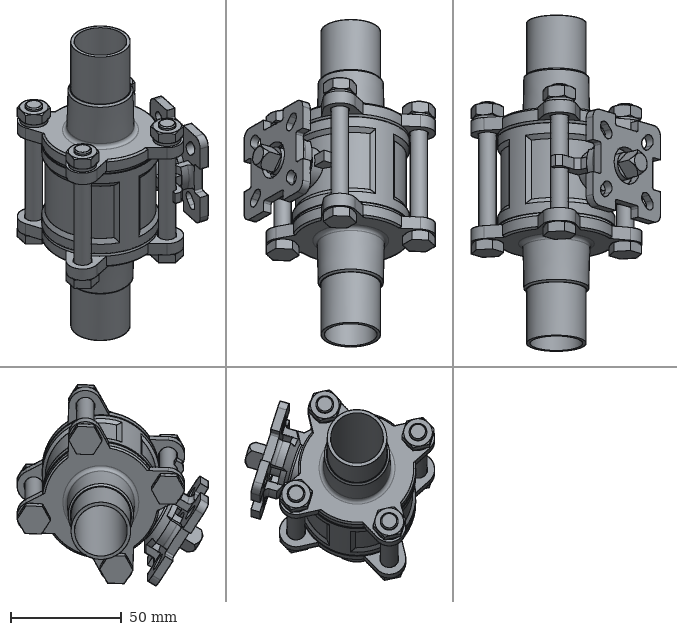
import cadquery as cq
import math


half_length = 75.0
bore_dia = 23.7
pipe_dia = 26.8
hub_end_radius = 14.7
hub_root_radius = 15.2
hub_end_z = 50.1
hub_end_chamfer = 0.9
hub_root_fillet = 2.0

body_dia = 53.0
flange_inner_z = 22.4
flange_outer_z = 28.4
flange_outer_chamfer = 0.9
flange_inner_chamfer = 0.6
body_end_z = 21.0

panel_radius = 25.0
panel_half_height = 13.8
panel_edge_slope = 2.2
rib_half_width = 5.4
rib_foot_half_width = 6.8

flange_width = 59.0
lobe_radius = 7.5
lobe_flank_length = 10.5
bolt_offset = flange_width / 2 - lobe_radius
bolt_dia = 8.0
bolt_hole_dia = 8.5
bolt_tip_z = 36.9
bolt_tip_chamfer = 0.6
hex_face_dia = 12.9
hex_corners = 15.0
hex_chamfer_angle = 30
head_height = 4.8
washer_dia = 12.8
washer_thickness = 1.5
nut_height = 5.5

neck_radius = 10.5
neck_top_y = 29.0
neck_flare_y = 29.8
neck_relief = 0.3
cup_inner_dia = 26.0
cup_outer_radius = 16.0
cup_floor_y = 33.9
cup_flare_y = 33.2
leg_width = 12.5
leg_fillet = 2.1

plate_bottom_y = 38.8
plate_top_y = 43.0
plate_side = 45.2
plate_corner_radius = 4.4
notch_width = 15.0
notch_depth = 5.2
notch_fillet = 0.98
plate_hole_dia = 17.0
slot_dia = 5.5
slot_inner_circle_radius = 18.0
slot_outer_circle_radius = 21.0

stem_dia = 12.3
stem_tip_y = 51.6
stem_tip_chamfer = 2.0

lug_thickness = 5.2
lug_top_y = 27.6
lug_base_y = 22.5
left_lug_end_x = -17.4
right_lug_end_x = 28.4
right_lug_shoulder_x = 16.0
right_lug_shoulder_y = 29.8
right_lug_peak_y = 33.0
right_lug_tip_chamfer = 2.1

body_radius = body_dia / 2
cup_inner_radius = cup_inner_dia / 2


def along_y(base_y):
    """Workplane for shapes extruded along +Y; its local axes are X and -Z."""
    return cq.Workplane("XZ", origin=(0, base_y, 0)).transformed(rotate=(180, 0, 0))


def both_ends(upper):
    return upper.union(upper.mirror("XY"))


def pipe_end():
    """Upper pipe stub with its tapered hub and the fillet at the hub root."""
    root_z = flange_outer_z + hub_root_fillet
    end_edge_z = hub_end_z - hub_end_chamfer
    profile = (
        cq.Workplane("XZ")
        .moveTo(0, body_end_z)
        .lineTo(hub_root_radius + hub_root_fillet, body_end_z)
        .lineTo(hub_root_radius + hub_root_fillet, flange_outer_z)
        .radiusArc((hub_root_radius, root_z), hub_root_fillet)
        .lineTo(hub_end_radius, end_edge_z)
        .lineTo(hub_end_radius - hub_end_chamfer, hub_end_z)
        .lineTo(pipe_dia / 2, hub_end_z)
        .lineTo(pipe_dia / 2, half_length)
        .lineTo(0, half_length)
        .close()
    )
    return profile.revolve(360, (0, 0, 0), (0, 1, 0))


def flange_lobe():
    """Bolt lobe on the +X +Y corner; its flanks lean 30 degrees from Y and from X."""
    cos30 = math.cos(math.radians(30))
    near = bolt_offset - lobe_radius / 2
    far = bolt_offset + lobe_radius * cos30
    flank_x = far - lobe_flank_length / 2
    flank_y = near - lobe_flank_length * cos30
    tip = bolt_offset + lobe_radius * math.sqrt(0.5)
    return (
        cq.Workplane("XY", origin=(0, 0, flange_inner_z))
        .moveTo(flank_x, flank_y)
        .lineTo(far, near)
        .threePointArc((tip, tip), (near, far))
        .lineTo(flank_y, flank_x)
        .close()
        .extrude(flange_outer_z - flange_inner_z)
    )


def flange():
    """Upper flange: chamfered disc with four drilled bolt lobes."""
    disc = (
        cq.Workplane("XZ")
        .moveTo(0, body_end_z)
        .lineTo(body_radius - flange_inner_chamfer, body_end_z)
        .lineTo(body_radius, flange_inner_z)
        .lineTo(body_radius, flange_outer_z - flange_outer_chamfer)
        .lineTo(body_radius - flange_outer_chamfer, flange_outer_z)
        .lineTo(0, flange_outer_z)
        .close()
        .revolve(360, (0, 0, 0), (0, 1, 0))
    )
    lobe = flange_lobe()
    for quarter in range(4):
        disc = disc.union(lobe.rotate((0, 0, 0), (0, 0, 1), 90 * quarter))
    holes = (
        cq.Workplane("XY", origin=(0, 0, flange_inner_z))
        .rect(2 * bolt_offset, 2 * bolt_offset, forConstruction=True)
        .vertices()
        .circle(bolt_hole_dia / 2)
        .extrude(flange_outer_z - flange_inner_z)
    )
    return disc.cut(holes)


def body_panels():
    """Ring-shaped cutter for the body panels, interrupted at the two ribs."""
    depth = body_radius - panel_radius
    outer_radius = body_radius + depth
    outer_half_height = panel_half_height + 2 * panel_edge_slope
    ring = (
        cq.Workplane("XZ")
        .moveTo(panel_radius, -panel_half_height)
        .lineTo(outer_radius, -outer_half_height)
        .lineTo(outer_radius, outer_half_height)
        .lineTo(panel_radius, panel_half_height)
        .close()
        .revolve(360, (0, 0, 0), (0, 1, 0))
    )
    rib_slope = rib_foot_half_width - rib_half_width
    rib_outer_half_width = rib_half_width - rib_slope
    foot_x = math.sqrt(panel_radius**2 - rib_foot_half_width**2)
    crest_x = foot_x + 2 * depth
    rib = (
        cq.Workplane("XY")
        .polyline([
            (0, -rib_foot_half_width),
            (foot_x, -rib_foot_half_width),
            (crest_x, -rib_outer_half_width),
            (crest_x, rib_outer_half_width),
            (foot_x, rib_foot_half_width),
            (0, rib_foot_half_width),
        ])
        .close()
        .extrude(outer_half_height, both=True)
    )
    return ring.cut(rib).cut(rib.mirror("YZ"))


def chamfered_hexagon(base_z, height, chamfer_top):
    """Hexagon with corners on X, its lower and optionally upper corners turned off by a cone."""
    corner_radius = hex_corners / 2
    face_radius = hex_face_dia / 2
    drop = (corner_radius - face_radius) * math.tan(math.radians(hex_chamfer_angle))
    top_z = base_z + height
    outline = [
        (0, base_z),
        (face_radius, base_z),
        (corner_radius, base_z + drop),
        (corner_radius, top_z),
        (0, top_z),
    ]
    if chamfer_top:
        outline[3:4] = [(corner_radius, top_z - drop), (face_radius, top_z)]
    turned = cq.Workplane("XZ").polyline(outline).close().revolve(360, (0, 0, 0), (0, 1, 0))
    hexagon = cq.Workplane("XY", origin=(0, 0, base_z)).polygon(6, hex_corners).extrude(height)
    return hexagon.intersect(turned)


def tie_bolt():
    """Bolt on the Z axis with its head below and its washer and nut above the flanges."""
    shank = (
        cq.Workplane("XY", origin=(0, 0, -flange_outer_z))
        .circle(bolt_dia / 2)
        .extrude(bolt_tip_z + flange_outer_z)
        .faces(">Z")
        .chamfer(bolt_tip_chamfer)
    )
    head = chamfered_hexagon(flange_outer_z, head_height, False).mirror("XY")
    washer = (
        cq.Workplane("XY", origin=(0, 0, flange_outer_z))
        .circle(washer_dia / 2)
        .extrude(washer_thickness)
    )
    nut = chamfered_hexagon(flange_outer_z + washer_thickness, nut_height, True)
    return shank.union(head).union(washer).union(nut)


def stem_cup():
    """Neck and flared cup floor, with four legs that carry the mounting plate."""
    turned = (
        cq.Workplane("XY")
        .moveTo(0, bore_dia / 2)
        .lineTo(neck_radius, bore_dia / 2)
        .lineTo(neck_radius, neck_top_y)
        .lineTo(neck_radius + neck_relief, neck_flare_y)
        .lineTo(cup_outer_radius, cup_flare_y)
        .lineTo(cup_outer_radius, plate_bottom_y - leg_fillet)
        .radiusArc((cup_outer_radius + leg_fillet, plate_bottom_y), leg_fillet)
        .lineTo(cup_inner_radius, plate_bottom_y)
        .lineTo(cup_inner_radius, cup_floor_y)
        .lineTo(0, cup_floor_y)
        .close()
        .revolve(360, (0, 0, 0), (0, 1, 0))
    )
    height = plate_bottom_y - bore_dia / 2
    leg_span = plate_side - 2 * notch_depth
    base = along_y(bore_dia / 2)
    kept = base.circle(cup_inner_radius).extrude(height)
    kept = kept.union(base.rect(leg_span, leg_width).extrude(height))
    kept = kept.union(base.rect(leg_width, leg_span).extrude(height))
    return turned.intersect(kept)


def mounting_plate():
    """Square plate with rounded corners, a notch in each side and diagonal bolt slots."""
    thickness = plate_top_y - plate_bottom_y
    plate = along_y(plate_bottom_y).rect(plate_side, plate_side).extrude(thickness)
    plate = plate.edges("|Y").fillet(plate_corner_radius)

    notch = (
        along_y(plate_bottom_y)
        .center(plate_side / 2, 0)
        .rect(2 * notch_depth, notch_width)
        .extrude(thickness)
        .edges("|Y and <X")
        .fillet(notch_fillet)
    )
    slot_length = slot_outer_circle_radius - slot_inner_circle_radius + slot_dia
    slot = (
        along_y(plate_bottom_y)
        .center((slot_inner_circle_radius + slot_outer_circle_radius) / 2, 0)
        .slot2D(slot_length, slot_dia)
        .extrude(thickness)
    )
    for quarter in range(4):
        turn = 90 * quarter
        plate = plate.cut(notch.rotate((0, 0, 0), (0, 1, 0), turn))
        plate = plate.cut(slot.rotate((0, 0, 0), (0, 1, 0), turn + 45))
    return plate.cut(along_y(plate_bottom_y).circle(plate_hole_dia / 2).extrude(thickness))


def stem():
    """Round stem whose end is a square set on its corner, with a conical tip."""
    shank = along_y(cup_floor_y).circle(stem_dia / 2).extrude(plate_top_y - cup_floor_y)
    tip_length = stem_tip_y - plate_top_y
    square = along_y(plate_top_y).polygon(4, stem_dia).extrude(tip_length)
    turned = along_y(plate_top_y).circle(stem_dia / 2).extrude(tip_length)
    turned = turned.faces(">Y").chamfer(stem_tip_chamfer)
    return shank.union(square.intersect(turned))


def stop_lugs():
    """Flat lugs on both sides of the neck; the right one reaches around a tie bolt."""
    half_thickness = lug_thickness / 2
    left = (
        cq.Workplane("XY")
        .polyline([(0, 0), (left_lug_end_x, 0), (left_lug_end_x, lug_top_y), (0, lug_top_y)])
        .close()
        .extrude(half_thickness, both=True)
    )
    ramp_end_x = right_lug_shoulder_x + right_lug_shoulder_y - lug_top_y
    right = (
        cq.Workplane("XY")
        .polyline([
            (0, lug_base_y),
            (right_lug_end_x, lug_base_y),
            (right_lug_end_x, lug_top_y - right_lug_tip_chamfer),
            (right_lug_end_x - right_lug_tip_chamfer, lug_top_y),
            (ramp_end_x, lug_top_y),
            (right_lug_shoulder_x, right_lug_shoulder_y),
            (right_lug_shoulder_x, right_lug_peak_y),
            (neck_radius, neck_flare_y),
            (0, neck_flare_y),
        ])
        .close()
        .extrude(half_thickness, both=True)
    )
    bolt_clearance = (
        cq.Workplane("XY")
        .center(bolt_offset, bolt_offset)
        .circle(bolt_hole_dia / 2)
        .extrude(half_thickness, both=True)
    )
    return left.union(right.cut(bolt_clearance))


body = cq.Workplane("XY").circle(body_radius).extrude(body_end_z, both=True)
valve = body.cut(body_panels())
valve = valve.union(both_ends(pipe_end().union(flange())))
valve = valve.union(stem_cup()).union(stop_lugs())
valve = valve.union(mounting_plate()).union(stem())
valve = valve.cut(cq.Workplane("XY").circle(bore_dia / 2).extrude(half_length, both=True))

bolt = tie_bolt()
for x in (-bolt_offset, bolt_offset):
    for y in (-bolt_offset, bolt_offset):
        valve = valve.union(bolt.translate((x, y, 0)))

result = valve